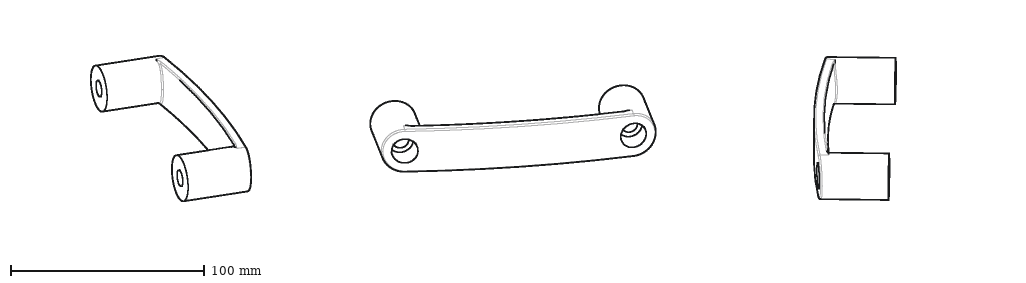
import cadquery as cq
import math

length = 144.3
width = 24.2
depth = 40.4
back_radius = 490.6
grip_side_thickness = 5.2
grip_mid_thickness = 7.4
back_round = 0.9
underside_round = 0.9
bore_diameter = 8.5
head_diameter = 13.5
head_seat = 23.1

leg_radius = width / 2
leg_x = length / 2 - leg_radius
bow_center_y = depth - back_radius


def cylinder_along_y(x, diameter, start, end):
    """Round bar parallel to Y between two Y positions."""
    plane = cq.Workplane("XZ", origin=(x, start, 0))
    return plane.circle(diameter / 2).extrude(start - end)


def make_leg(x):
    """Round leg whose back end follows the bow of the grip."""
    bow_plane = cq.Workplane("XY", origin=(0, bow_center_y, -width))
    bow = bow_plane.circle(back_radius).extrude(2 * width)
    return cylinder_along_y(x, width, 0, depth).intersect(bow)


def make_grip():
    """Bowed bar between the leg axes, with a flat back and a crowned underside."""
    side_y = depth - grip_side_thickness
    crown_y = depth - grip_mid_thickness
    section = (
        cq.Workplane("YZ")
        .moveTo(depth, -leg_radius)
        .lineTo(side_y, -leg_radius)
        .threePointArc((crown_y, 0), (side_y, leg_radius))
        .lineTo(depth, leg_radius)
        .close()
    )
    sweep_angle = 2 * math.degrees(math.asin(length / 2 / (back_radius - grip_mid_thickness)))
    grip = section.revolve(sweep_angle, (bow_center_y, 0, 0), (bow_center_y, 1, 0))
    grip = grip.rotate((0, bow_center_y, 0), (0, bow_center_y, 1), -sweep_angle / 2)
    return grip.intersect(cq.Workplane("XY").box(2 * leg_x, 4 * depth, 2 * width))


def round_back(body):
    """Round the rim of the bowed back face."""
    back_edges = body.faces(">Y").edges()
    return body.newObject(back_edges.vals()).fillet(back_round)


def round_underside(body):
    """Round the long underside edges together with the leg roots that meet them."""
    reach_x = leg_x - underside_round
    bow_at_leg_y = bow_center_y + math.sqrt(back_radius**2 - leg_x**2)
    zone = cq.selectors.BoxSelector(
        (-reach_x, depth / 2, -width), (reach_x, bow_at_leg_y - back_round, width)
    )
    return body.edges(zone).fillet(underside_round)


handle = make_grip()
for x in (-leg_x, leg_x):
    handle = handle.union(make_leg(x))

result = round_underside(round_back(handle))
for x in (-leg_x, leg_x):
    result = result.cut(cylinder_along_y(x, bore_diameter, 0, depth))
    result = result.cut(cylinder_along_y(x, head_diameter, head_seat, depth))